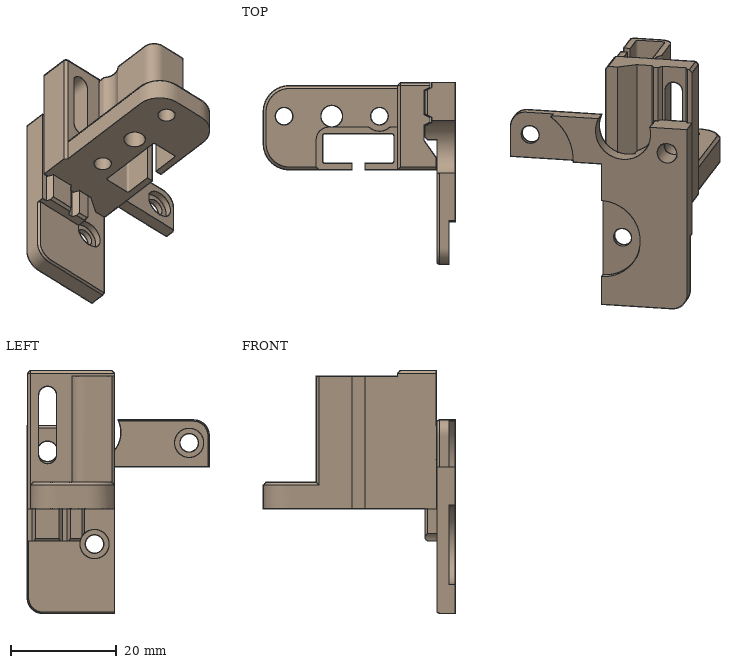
import cadquery as cq
overall_x = 36.25
bracket_bottom = 19.8
flank_slope = 0.5
flank_reference_x = 31.5
groove_1_y = (9.9, 15.55)
groove_2_rear_y = 9.0
slide_hole_y = 12.65

bracket_chamfer = 0.55
flange_top = 24.8
flange_depth = 15.95
flange_corner_radius = 4.95
flange_hole_y = 10.15
flange_hole_pitch = 9.0
small_hole_diameter = 3.25
large_hole_diameter = 4.05
first_hole_x = 3.95
boss_clearance_radius = 2.85
boss_clearance_rounding = 0.45

post_left = 10.0
post_top = 44.8
post_depth = 8.1
post_corner_radius = 2.4
channel_x = (11.25, 24.65)
channel_y = (1.3, 6.8)
channel_corner_radius = 0.35
mouth_x = (16.8, 19.2)

block_left = 25.35
block_back = 32.7
block_top = 45.9
block_depth = flange_depth + bracket_chamfer
groove_floor_x = 30.4
groove_2_front_y = 5.55
relief_front_y = 2.3
slide_slot_width = 3.35
slide_slot_z = (28.3, 42.9)

plate_chamfer_depth = 0.28
plate_chamfer_width = 0.45
plate_face = 32.8
plate_depth = 16.55
plate_top = 35.55
plate_corner_radius = 3.0
arm_end_y = -17.85
arm_z = (27.7, 36.6)
pad_face = 31.8
pad_bottom = 13.7
pad_front_y = 5.7
ridge_face = 30.55
ridge_chamfer = 0.5
ridge_clearance = 0.15
slide_hole_diameter = 3.8
slide_hole_z = 30.6
scoop_radius = 5.33
scoop_y = 4.2
scoop_z = 34.2
screw_places = [(3.8, 13.15), (-14.05, 32.25)]
screw_diameter = 3.45
counterbore_diameter = 5.5
counterbore_depth = 1.25
back_recess_x = 35.08
leg_recess_radius = 7.5
leg_recess_z = 13.0
arm_recess_radius = 10.0
arm_recess_y = -15.45
arm_recess_z = 28.1
arm_recess_bevel_y = -9.55
arm_recess_bevel = 0.28


def block(x_range, y_range, z_range):
    """Axis-aligned box between the given limits."""
    size = [high - low for low, high in (x_range, y_range, z_range)]
    corner = (x_range[0], y_range[0], z_range[0])
    return cq.Workplane("XY").box(*size, centered=False).translate(corner)


def cylinder_x(radius, y, z, x_start, x_end):
    """Cylinder along X."""
    return cq.Workplane("YZ").workplane(offset=x_start).center(y, z).circle(radius).extrude(x_end - x_start)


def cylinder_z(radius, x, y, z_start, z_end):
    """Cylinder along Z."""
    return cq.Workplane("XY").workplane(offset=z_start).center(x, y).circle(radius).extrude(z_end - z_start)


def flank_shift(x):
    """Distance a flank moves toward the middle of its groove or ridge from flank_reference_x to x."""
    return flank_slope * (flank_reference_x - x)


def make_flange():
    flange = block((0, block_left), (0, flange_depth), (bracket_bottom, flange_top))
    flange = flange.edges("|Z and <X").fillet(flange_corner_radius)
    return flange.faces(">Z").edges("not >X").chamfer(bracket_chamfer)


def make_post():
    post = block((post_left, block_left), (0, post_depth), (bracket_bottom, post_top))
    post = post.edges("|Z and <X and >Y").fillet(post_corner_radius)
    post = post.edges("|Z and <X and <Y").chamfer(bracket_chamfer)
    boss_x = first_hole_x + 2 * flange_hole_pitch
    boss_clearance = cylinder_z(boss_clearance_radius, boss_x, flange_hole_y, flange_top, post_top)
    post = post.cut(boss_clearance)
    rear_edges = cq.selectors.BoxSelector(
        (boss_x - boss_clearance_radius, post_depth - 0.05, bracket_bottom),
        (boss_x + boss_clearance_radius, post_depth + 0.05, post_top),
    )
    return post.edges("|Z").edges(rear_edges).fillet(boss_clearance_rounding)


def make_slide_block():
    body = block((block_left, block_back), (0, block_depth), (bracket_bottom, block_top))
    rear_corner_and_top_rim = "(|Z and <X and >Y) or (>Z and (not >X))"
    body = body.edges(rear_corner_and_top_rim).chamfer(bracket_chamfer)
    return body.cut(guide_space()).cut(slide_slot())


def guide_space():
    """Everything removed from the slide block to leave two guide grooves and a slanted relief."""
    shift = flank_shift(groove_floor_x)
    front_1, rear_1 = groove_1_y
    past_back = block_back + 0.45
    return (
        cq.Workplane("XY")
        .workplane(offset=bracket_bottom)
        .polyline([
            (past_back, block_depth + 0.45),
            (flank_reference_x, block_depth + 0.45),
            (flank_reference_x, rear_1),
            (groove_floor_x, rear_1 - shift),
            (groove_floor_x, front_1 + shift),
            (flank_reference_x, front_1),
            (flank_reference_x, groove_2_rear_y),
            (groove_floor_x, groove_2_rear_y - shift),
            (groove_floor_x, groove_2_front_y),
            (block_back, relief_front_y),
            (past_back, relief_front_y),
        ])
        .close()
        .extrude(block_top - bracket_bottom)
    )


def slide_slot():
    low, high = slide_slot_z
    return (
        cq.Workplane("YZ")
        .center(slide_hole_y, (low + high) / 2)
        .slot2D(high - low, slide_slot_width, 90)
        .extrude(overall_x)
    )


def make_bracket():
    bracket = make_flange().union(make_post()).union(make_slide_block())
    height = (bracket_bottom, block_top)
    channel = block(channel_x, channel_y, height).edges("|Z").fillet(channel_corner_radius)
    mouth = block(mouth_x, (0, sum(channel_y) / 2), height)
    bracket = bracket.cut(channel).cut(mouth)
    for index, diameter in enumerate((small_hole_diameter, large_hole_diameter, small_hole_diameter)):
        hole_x = first_hole_x + index * flange_hole_pitch
        bracket = bracket.cut(cylinder_z(diameter / 2, hole_x, flange_hole_y, bracket_bottom, flange_top))
    return bracket


def make_leg():
    leg = block((plate_face, overall_x), (0, plate_depth), (0, plate_top))
    leg = leg.edges("|X and >Y and <Z").fillet(plate_corner_radius)
    return leg.faces("<X").edges("not(>Z or <Y)").chamfer(plate_chamfer_depth, plate_chamfer_width)


def make_arm():
    arm = block((plate_face, overall_x), (arm_end_y, 0), arm_z)
    arm = arm.edges("|X and <Y and >Z").fillet(plate_corner_radius)
    return arm.faces("<X").edges("not(<Z or >Y)").chamfer(plate_chamfer_depth, plate_chamfer_width)


def make_guide_pad():
    """Raised pad with two flanked ridges that run in the bracket grooves."""
    pad_shift = flank_shift(pad_face) + ridge_clearance
    crest_shift = flank_shift(ridge_face) + ridge_clearance
    front_1, rear_1 = groove_1_y
    pad_back = plate_face + 2 * plate_chamfer_depth
    pad = (
        cq.Workplane("XY")
        .workplane(offset=pad_bottom)
        .polyline([
            (pad_back, plate_depth),
            (pad_face, plate_depth),
            (pad_face, rear_1 - pad_shift),
            (ridge_face, rear_1 - crest_shift),
            (ridge_face, front_1 + crest_shift),
            (pad_face, front_1 + pad_shift),
            (pad_face, groove_2_rear_y - pad_shift),
            (ridge_face, groove_2_rear_y - crest_shift),
            (ridge_face, pad_front_y + ridge_chamfer),
            (ridge_face + ridge_chamfer, pad_front_y),
            (pad_back, pad_front_y),
        ])
        .close()
        .extrude(plate_top - pad_bottom)
    )
    for end_z, inward in ((pad_bottom, 1), (plate_top, -1)):
        bevel = (
            cq.Workplane("XZ")
            .polyline([
                (ridge_face, end_z),
                (ridge_face + ridge_chamfer, end_z),
                (ridge_face, end_z + inward * ridge_chamfer),
            ])
            .close()
            .extrude(-plate_depth)
        )
        pad = pad.cut(bevel)
    return pad


def arm_recess():
    """Round recess in the back of the arm, with a small bevel where it meets the arm top."""
    arm_top = arm_z[1]
    recess = cylinder_x(arm_recess_radius, arm_recess_y, arm_recess_z, back_recess_x, overall_x)
    bevel = (
        cq.Workplane("YZ")
        .workplane(offset=back_recess_x)
        .polyline([
            (arm_recess_bevel_y, arm_top),
            (arm_recess_bevel_y - arm_recess_bevel, arm_top - arm_recess_bevel),
            (arm_recess_y, arm_top - arm_recess_bevel),
            (arm_recess_y, arm_top),
        ])
        .close()
        .extrude(overall_x - back_recess_x)
    )
    arm_space = block((back_recess_x, overall_x), (arm_end_y, 0), arm_z)
    return recess.union(bevel).intersect(arm_space)


def make_plate():
    plate = make_leg().union(make_arm()).union(make_guide_pad())
    plate = plate.cut(cylinder_x(scoop_radius, scoop_y, scoop_z, ridge_face, overall_x))
    plate = plate.cut(cylinder_x(slide_hole_diameter / 2, slide_hole_y, slide_hole_z, ridge_face, overall_x))
    plate = plate.cut(cylinder_x(leg_recess_radius, 0, leg_recess_z, back_recess_x, overall_x))
    plate = plate.cut(arm_recess())
    for y, z in screw_places:
        plate = plate.cut(cylinder_x(screw_diameter / 2, y, z, plate_face, overall_x))
        counterbore_floor = plate_face + counterbore_depth
        plate = plate.cut(cylinder_x(counterbore_diameter / 2, y, z, ridge_face, counterbore_floor))
    return plate


bracket = make_bracket()
plate = make_plate()

result = cq.Compound.makeCompound([*bracket.solids().vals(), *plate.solids().vals()])